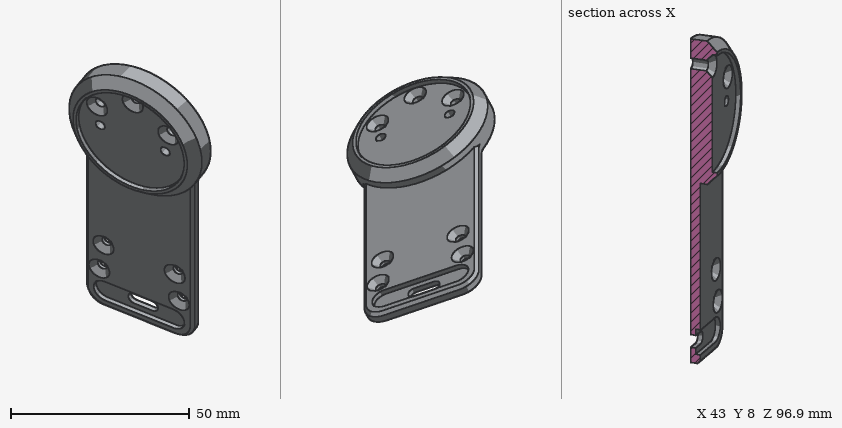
import cadquery as cq
import math

overall_height = 96.9
head_diameter = 43.0
head_radius = head_diameter / 2
head_depth = 8.0
head_chamfer = 3.0
recess_diameter = 35.0
recess_depth = 1.5
recess_floor = head_depth - recess_depth

plate_width = 35.0
plate_thickness = 3.0
plate_bottom = head_radius - overall_height
plate_corner_radius = 6.0
plate_chamfer = 1.0
neck_fillet = 4.0
neck_overlap = 0.05

screw_diameter = 3.0
countersink_diameter = 6.7
countersink_angle = 90.0
upper_screw_x = 11.5
lower_screw_x = 12.9
head_screws = [(0, 14.05), (-upper_screw_x, 7.1), (upper_screw_x, 7.1)]
plate_screws = [
    (-upper_screw_x, -51.0),
    (upper_screw_x, -51.0),
    (-lower_screw_x, -60.95),
    (lower_screw_x, -60.95),
]
pin_diameter = 3.0
pin_spacing = 21.0
pin_height = 0.2

pocket_length = 29.4
pocket_width = 7.4
pocket_depth = 1.5
pocket_height = -68.9
slot_length = 9.6
slot_width = 3.7
slot_offset = 0.5


def front_plane(depth):
    """XZ sketch plane at the given distance in front of the back face; extrudes toward -Y."""
    return cq.Workplane("XZ", origin=(0, -depth, 0))


def make_head():
    disc = front_plane(0).circle(head_radius).extrude(head_depth)
    return disc.faces("<Y").edges().chamfer(head_chamfer)


def make_plate():
    half_width = plate_width / 2
    inner_radius = head_radius - neck_overlap
    centre_x = half_width + neck_fillet
    centre_distance = inner_radius + neck_fillet
    centre_z = -math.sqrt(centre_distance**2 - centre_x**2)
    rim_x = centre_x * inner_radius / centre_distance
    rim_z = centre_z * inner_radius / centre_distance
    sweep = math.atan2(-centre_z, centre_x)
    middle_x = centre_x - neck_fillet * math.cos(sweep / 2)
    middle_z = centre_z + neck_fillet * math.sin(sweep / 2)

    plate = (
        front_plane(0)
        .moveTo(-half_width, plate_bottom)
        .lineTo(half_width, plate_bottom)
        .lineTo(half_width, centre_z)
        .threePointArc((middle_x, middle_z), (rim_x, rim_z))
        .lineTo(0, 0)
        .lineTo(-rim_x, rim_z)
        .threePointArc((-middle_x, middle_z), (-half_width, centre_z))
        .close()
        .extrude(plate_thickness)
    )
    plate = plate.edges("|Y and <Z").fillet(plate_corner_radius)
    return plate.faces("<Y").edges().chamfer(plate_chamfer)


def cut_recess(body):
    recess = front_plane(recess_floor).circle(recess_diameter / 2).extrude(recess_depth)
    return body.cut(recess)


def cut_screw_holes(body, points, surface_depth):
    return (
        body.copyWorkplane(front_plane(surface_depth))
        .pushPoints(points)
        .cskHole(screw_diameter, countersink_diameter, countersink_angle)
    )


def cut_pin_holes(body):
    pins = (
        front_plane(0)
        .pushPoints([(-pin_spacing / 2, pin_height), (pin_spacing / 2, pin_height)])
        .circle(pin_diameter / 2)
        .extrude(head_depth)
    )
    return body.cut(pins)


def cut_strap_slot(body):
    pocket = (
        front_plane(plate_thickness - pocket_depth)
        .center(0, pocket_height)
        .slot2D(pocket_length, pocket_width)
        .extrude(pocket_depth)
    )
    slot = (
        front_plane(0)
        .center(slot_offset, pocket_height)
        .slot2D(slot_length, slot_width)
        .extrude(plate_thickness)
    )
    return body.cut(pocket).cut(slot)


result = make_head().union(make_plate())
result = cut_recess(result)
result = cut_screw_holes(result, head_screws, recess_floor)
result = cut_screw_holes(result, plate_screws, plate_thickness)
result = cut_pin_holes(result)
result = cut_strap_slot(result)